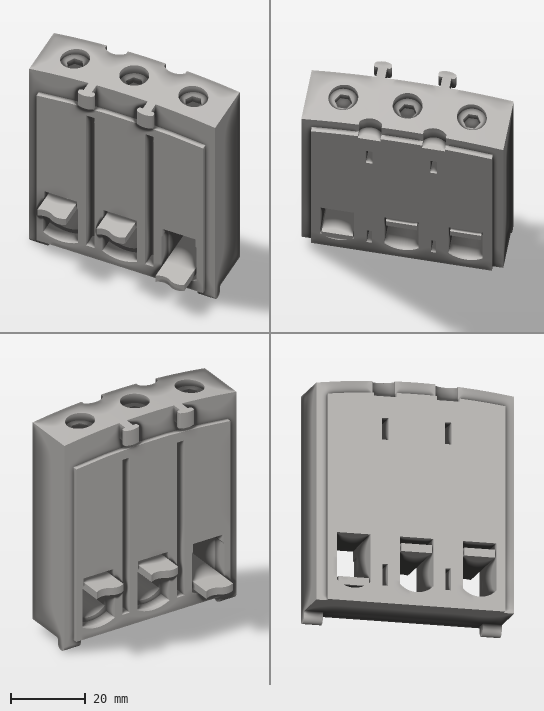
import cadquery as cq
import math


BLOCK_WIDTH = 54.8
BLOCK_DEPTH = 15.55
TOTAL_HEIGHT = 65.0
FOOT_HEIGHT = 3.1
BLOCK_HEIGHT = TOTAL_HEIGHT - FOOT_HEIGHT
CROWN_RADIUS = 193.7

PLATE_WIDTH = 49.1
FRONT_PLATE_THICKNESS = 1.5
BACK_PLATE_THICKNESS = 1.4
FRONT_PLATE_DROP = 7.75
BACK_PLATE_DROP = 3.6
FRONT_FACE_Y = -FRONT_PLATE_THICKNESS
BACK_FACE_Y = BLOCK_DEPTH + BACK_PLATE_THICKNESS
TOTAL_PLATED_DEPTH = BACK_FACE_Y - FRONT_FACE_Y

FOOT_WIDTH = 5.25
FOOT_DEPTH = 3.1
FOOT_FILLET = 0.6

POLE_PITCH = 17.4
POLE_XS = [-POLE_PITCH, 0, POLE_PITCH]
BETWEEN_XS = [-POLE_PITCH / 2, POLE_PITCH / 2]

SCREW_Y = 7.6
SCREW_DIAMETER = 8.0
SCREW_HEAD_Z = 59.0
HEX_ACROSS_FLATS = 4.15
HEX_DEPTH = 1.95

RECESS_DEPTH = 4.15

WINDOW_TOP = 18.65
WINDOW_WIDTH = 9.3
WINDOW_SIDE_BOTTOM = 5.65
WINDOW_BOTTOM = 3.65
MOUTH_WIDTH = 10.3
MOUTH_SIDE_TOP = 15.7
MOUTH_SIDE_BOTTOM = 3.8
MOUTH_BOTTOM = 2.4
MOUTH_NECK_WIDTH = 9.75
MOUTH_NECK_RISE = 0.45

SLOT_WIDTH = 2.4
SLOT_TOP = 51.1
SLOT_BOTTOM = 3.85
UPPER_OPENING_WIDTH = 1.9
LOWER_OPENING_WIDTH = 1.4
OPENING_HEIGHT = 6.0
LOWER_OPENING_BOTTOM = 4.8

COUPLING_DEPTH = 4.8
COUPLING_FLOOR_Z = BLOCK_HEIGHT - COUPLING_DEPTH
KEY_NECK_WIDTH = 2.4
KEY_NECK_LENGTH = 3.0
KEY_LENGTH = 5.1
KEY_HEAD_WIDTH = 4.8
KEY_HEAD_BULGE = 0.65
KEY_CORNER_RADIUS = 0.65
GROOVE_WIDTH = 6.2
GROOVE_SIDE_DEPTH = 1.05
GROOVE_DEPTH = 2.4

BAR_WIDTH = 8.45
BAR_THICKNESS = 2.2
BAR_END_Y = -7.1
BAR_WAVE = 0.65
RAISED_BAR_Z = 14.7
LOWERED_BAR_Z = 4.35
RAISED_BAR_XS = POLE_XS[:2]
LOWERED_BAR_X = POLE_XS[2]


def box(x_center, width, y_front, y_back, z_low, z_high):
    """Upright box, centred across X on x_center."""
    return (
        cq.Workplane("XY")
        .box(width, y_back - y_front, z_high - z_low, centered=(True, False, False))
        .translate((x_center, y_front, z_low))
    )


def extrude_back(outline, y_front, depth):
    """Extrude an XZ outline towards +Y, starting at y_front."""
    return outline.extrude(-depth).translate((0, y_front, 0))


def crowned_slab(width, crown_z, y_front, depth):
    """Slab standing on Z = 0 with an arched top that peaks at crown_z."""
    half = width / 2
    shoulder_z = crown_z - CROWN_RADIUS + math.sqrt(CROWN_RADIUS**2 - half**2)
    outline = (
        cq.Workplane("XZ")
        .moveTo(-half, 0)
        .lineTo(half, 0)
        .lineTo(half, shoulder_z)
        .threePointArc((0, crown_z), (-half, shoulder_z))
        .close()
    )
    return extrude_back(outline, y_front, depth)


def foot(x_center):
    """Round-nosed foot whose back runs into the block through a fillet."""
    nose_radius = FOOT_DEPTH / 2
    nose_z = nose_radius - FOOT_HEIGHT
    fillet_mid = FOOT_FILLET * (1 - math.sqrt(0.5))
    return (
        cq.Workplane("YZ")
        .moveTo(0, 0)
        .lineTo(0, nose_z)
        .threePointArc((nose_radius, -FOOT_HEIGHT), (FOOT_DEPTH, nose_z))
        .lineTo(FOOT_DEPTH, -FOOT_FILLET)
        .threePointArc((FOOT_DEPTH + fillet_mid, -fillet_mid), (FOOT_DEPTH + FOOT_FILLET, 0))
        .close()
        .extrude(FOOT_WIDTH / 2, both=True)
        .translate((x_center, 0, 0))
    )


def screw_recess(x_center):
    """Round sinking down to the screw head, with a hexagon socket in the head."""
    head = (
        cq.Workplane("XY", origin=(x_center, SCREW_Y, SCREW_HEAD_Z))
        .circle(SCREW_DIAMETER / 2)
        .extrude(BLOCK_HEIGHT - SCREW_HEAD_Z)
    )
    across_corners = HEX_ACROSS_FLATS / math.cos(math.pi / 6)
    socket = (
        cq.Workplane("XY", origin=(x_center, SCREW_Y, SCREW_HEAD_Z))
        .polygon(6, across_corners)
        .extrude(-HEX_DEPTH)
    )
    return head.union(socket)


def window(x_center):
    """Round-bottomed opening through the full depth, with a wider mouth at the front."""
    half = WINDOW_WIDTH / 2
    opening = (
        cq.Workplane("XZ")
        .moveTo(-half, WINDOW_TOP)
        .lineTo(-half, WINDOW_SIDE_BOTTOM)
        .threePointArc((0, WINDOW_BOTTOM), (half, WINDOW_SIDE_BOTTOM))
        .lineTo(half, WINDOW_TOP)
        .close()
    )
    mouth_half = MOUTH_WIDTH / 2
    neck_half = MOUTH_NECK_WIDTH / 2
    neck_z = MOUTH_SIDE_TOP + MOUTH_NECK_RISE
    mouth = (
        cq.Workplane("XZ")
        .moveTo(-neck_half, WINDOW_TOP)
        .lineTo(-neck_half, neck_z)
        .lineTo(-mouth_half, MOUTH_SIDE_TOP)
        .lineTo(-mouth_half, MOUTH_SIDE_BOTTOM)
        .threePointArc((0, MOUTH_BOTTOM), (mouth_half, MOUTH_SIDE_BOTTOM))
        .lineTo(mouth_half, MOUTH_SIDE_TOP)
        .lineTo(neck_half, neck_z)
        .lineTo(neck_half, WINDOW_TOP)
        .close()
    )
    cutter = extrude_back(opening, FRONT_FACE_Y, TOTAL_PLATED_DEPTH)
    cutter = cutter.union(extrude_back(mouth, FRONT_FACE_Y, RECESS_DEPTH))
    return cutter.translate((x_center, 0, 0))


def slot(x_center):
    """Vertical front slot with a through opening near each end."""
    recess_floor_y = FRONT_FACE_Y + RECESS_DEPTH
    lower_opening_top = LOWER_OPENING_BOTTOM + OPENING_HEIGHT
    recess = box(x_center, SLOT_WIDTH, FRONT_FACE_Y, recess_floor_y, SLOT_BOTTOM, SLOT_TOP)
    upper = box(
        x_center, UPPER_OPENING_WIDTH, FRONT_FACE_Y, BACK_FACE_Y, SLOT_TOP - OPENING_HEIGHT, SLOT_TOP
    )
    lower = box(
        x_center, LOWER_OPENING_WIDTH, FRONT_FACE_Y, BACK_FACE_Y, LOWER_OPENING_BOTTOM, lower_opening_top
    )
    return recess.union(upper).union(lower)


def coupling_key(x_center):
    """T-shaped key in front of the block, up to the height of the crown."""
    neck_front_y = -KEY_NECK_LENGTH - KEY_CORNER_RADIUS
    neck = box(x_center, KEY_NECK_WIDTH, neck_front_y, 0, COUPLING_FLOOR_Z, BLOCK_HEIGHT)
    half = KEY_HEAD_WIDTH / 2
    head_side_y = KEY_HEAD_BULGE - KEY_LENGTH
    head = (
        cq.Workplane("XY", origin=(x_center, 0, COUPLING_FLOOR_Z))
        .moveTo(-half, -KEY_NECK_LENGTH)
        .lineTo(-half, head_side_y)
        .threePointArc((0, -KEY_LENGTH), (half, head_side_y))
        .lineTo(half, -KEY_NECK_LENGTH)
        .close()
        .extrude(COUPLING_DEPTH)
        .edges("|Z")
        .fillet(KEY_CORNER_RADIUS)
    )
    return neck.union(head)


def coupling_groove(x_center):
    """Round-bottomed groove in the back, open to the top."""
    half = GROOVE_WIDTH / 2
    side_y = BLOCK_DEPTH - GROOVE_SIDE_DEPTH
    return (
        cq.Workplane("XY", origin=(x_center, 0, COUPLING_FLOOR_Z))
        .moveTo(-half, BACK_FACE_Y)
        .lineTo(-half, side_y)
        .threePointArc((0, BLOCK_DEPTH - GROOVE_DEPTH), (half, side_y))
        .lineTo(half, BACK_FACE_Y)
        .close()
        .extrude(COUPLING_DEPTH)
    )


def conductor_bar(x_center, z_low):
    """Flat bar from the back face out through the window, ending in an S-shaped break."""
    half = BAR_WIDTH / 2
    quarter = BAR_WIDTH / 4
    return (
        cq.Workplane("XY", origin=(x_center, 0, z_low))
        .moveTo(-half, BACK_FACE_Y)
        .lineTo(-half, BAR_END_Y)
        .threePointArc((-quarter, BAR_END_Y + BAR_WAVE), (0, BAR_END_Y))
        .threePointArc((quarter, BAR_END_Y - BAR_WAVE), (half, BAR_END_Y))
        .lineTo(half, BACK_FACE_Y)
        .close()
        .extrude(BAR_THICKNESS)
    )


def make_housing():
    """Housing, in one piece with the lowered bar seated in its right-hand window."""
    block = crowned_slab(BLOCK_WIDTH, BLOCK_HEIGHT, 0, BLOCK_DEPTH)
    crown_limit = crowned_slab(BLOCK_WIDTH, BLOCK_HEIGHT, -KEY_LENGTH, KEY_LENGTH)
    for x in BETWEEN_XS:
        block = block.union(coupling_key(x).intersect(crown_limit))

    front_plate = crowned_slab(
        PLATE_WIDTH, BLOCK_HEIGHT - FRONT_PLATE_DROP, FRONT_FACE_Y, FRONT_PLATE_THICKNESS
    )
    back_plate = crowned_slab(
        PLATE_WIDTH, BLOCK_HEIGHT - BACK_PLATE_DROP, BLOCK_DEPTH, BACK_PLATE_THICKNESS
    )
    block = block.union(front_plate).union(back_plate)

    foot_x = (BLOCK_WIDTH - FOOT_WIDTH) / 2
    for x in (-foot_x, foot_x):
        block = block.union(foot(x))

    for x in POLE_XS:
        block = block.cut(window(x)).cut(screw_recess(x))
    for x in BETWEEN_XS:
        block = block.cut(slot(x)).cut(coupling_groove(x))

    return block.union(conductor_bar(LOWERED_BAR_X, LOWERED_BAR_Z))


housing = make_housing()
raised_bars = [conductor_bar(x, RAISED_BAR_Z) for x in RAISED_BAR_XS]

result = cq.Compound.makeCompound([housing.val(), *[bar.val() for bar in raised_bars]])